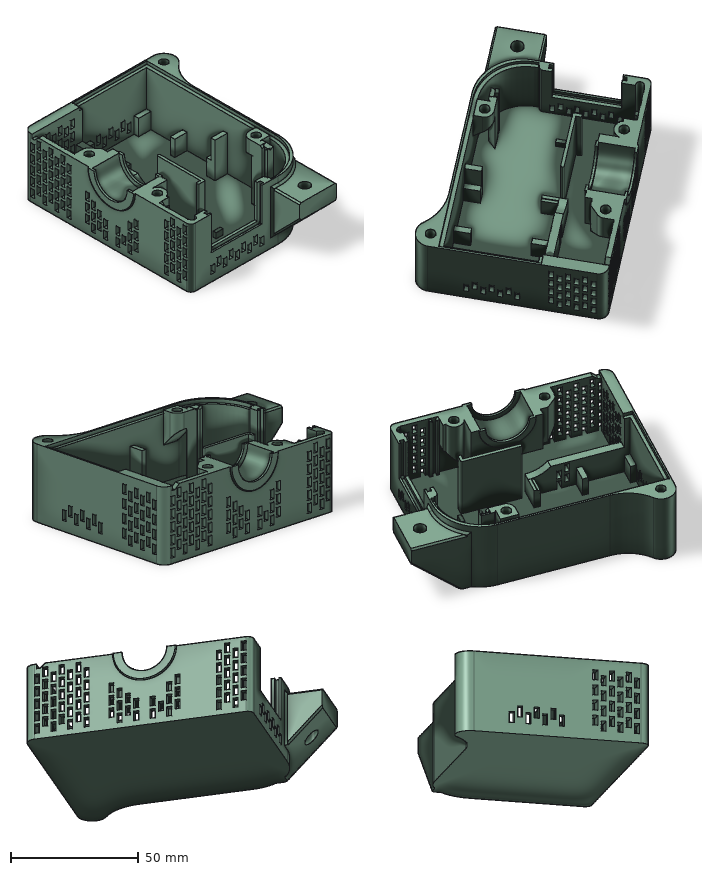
import cadquery as cq
import math

LENGTH = 93.4
DEPTH = 68.5
HEIGHT = 32.7
FLOOR = 2.5
WALL = 2.3
BACK_WALL = 2.5
RIGHT_WALL = 2.2
THICK_WALL = 4.8
WINDOW_WALL = 4.0
LEFT_RADIUS = 4.0
RIGHT_RADIUS = 2.5
BACK_RADIUS = 20.0
LIP_RADIUS = 20.8
INNER_RADIUS = 19.3
DIVIDER_Y = 27.9

EAR_RADIUS = 6.0
EAR_Y = 71.9
NECK_RADIUS = 20.0
SCREW_DIAMETER = 4.1
SCREW_DEPTH = 7.6

LEDGE_DEPTH = 1.6
LIP = 0.8
LEDGE_FRONT_Y = 26.5
LEDGE_RIGHT_Y = 45.2

TAB_END = 108.6
TAB_FRONT = 45.3
TAB_BACK = 65.8
TAB_TOP = 28.6
TAB_TIP_BOTTOM = 20.3
TAB_CHAMFER = 0.8
TAB_COLLAR = 1.0
TAB_HOLE_X = 101.2
TAB_HOLE_DIAMETER = 5.2

JAMB_Y = 44.8
JAMB_BEVEL = 1.0
WINDOW_FRONT = 11.5
WINDOW_BACK = 39.4
SILL = 14.1
GROOVE_X = 90.8
GROOVE_WIDTH = 1.7
GROOVE_BITE = 1.6
GROOVE_BEVEL = 1.0
NOTCH_X = 89.7
NOTCH_Y = 4.2
NOTCH_RADIUS = 1.7

BORE_X = 49.3
BORE_RADIUS = 11.25
BORE_LIP_RADIUS = 9.2
BORE_LIP = 1.1
FRONT_RING_RADIUS = 13.1
FRONT_RING_HEIGHT = 0.7
FRONT_RING_CHAMFER = 0.4
REAR_RING_RADIUS = 12.0
SADDLE_LEFT = 26.1
SADDLE_RIGHT = 73.5
SADDLE_BACK = 15.5
SADDLE_REAR_END = 16.2
SADDLE_BOTTOM = 13.9
SADDLE_BEVEL = 5.0
SADDLE_RIB = 2.0
SADDLE_STEP_LEFT = 34.2
SADDLE_STEP_RIGHT = 64.5
SADDLE_STEP_Y = 12.6
SADDLE_SCREW_LEFT = (30.2, 6.4)
SADDLE_SCREW_RIGHT = (68.3, 6.4)
SCREW_BOSS_RADIUS = 4.0

BOSS_LEFT = 63.5
BOSS_RIGHT = 71.3
BOSS_SCREW_X = (BOSS_LEFT + BOSS_RIGHT) / 2
BOSS_SCREW_Y = 62.1
BOSS_FOOT = 17.9

BOARD_SLOT_X = 74.5
BOARD_SLOT_WIDTH = 1.6
BOARD_SLOT_DEPTH = 1.5
GUIDE_LEFT = 68.8
GUIDE_SLOT_LEFT = 73.6
GUIDE_RIGHT = 77.6
GUIDE_FRONT = BOSS_SCREW_Y - (BOSS_RIGHT - BOSS_LEFT) / 2
GUIDE_BACK = 61.5
GUIDE_BEVEL = 1.0
BOARD_STOP_FRONT = 31.2
BOARD_STOP_LENGTH = 3.9
BOARD_STOP_TOP = 5.4

SUPPORT_WIDTH = 2.5
SUPPORT_LENGTH = 6.8
SUPPORT_TOP = 11.3
SUPPORT_LEFT_EDGES = (2.3, 22.5, 42.7)
STOP_RIGHT = 47.5
STOP_WIDTH = 2.3
STOP_TOP = 22.0
SHELF_RIGHT = 45.3
SHELF_FRONT = 24.5
SHELF_TOP = 15.6
SHELF_DIP_X = 35.7
SHELF_LOW = 11.7
SHELF_DIP_MIDDLE = (39.0, 13.1)
SHELF_END_WIDTH = 1.4
DIVIDER_LEFT = 47.7
DIVIDER_RIGHT = 73.5
DIVIDER_THICKNESS = 1.4
DIVIDER_HOOK = 2.4
DIVIDER_TOP = 30.7

VENT_WIDTH = 2.0
VENT_HEIGHT = 4.0
VENT_PITCH = 3.4
FRONT_VENT_X = 5.0
FRONT_VENT_ROW_PITCH = 5.4
FRONT_VENT_ROWS = 5
ROWS_UNDER_BORE = {9: 3, 10: 3, 11: 2, 12: 2, 14: 2, 15: 1, 16: 3, 17: 3}
SHELF_VENT_ROWS = {7: 2, 8: 2}
SIDE_VENT_Y = 5.49
SIDE_VENT_ROW_PITCH = 6.2
SIDE_VENT_ROWS = 4
SIDE_VENT_EVEN_Z = 3.8
SIDE_VENT_ODD_Z = 6.0
LOW_VENT_EVEN_Z = 7.1
LOW_VENT_ODD_Z = 4.6
LOW_VENT_HEIGHT = 4.5

RIM_NOTCH_DEPTH = 2.1
RIM_NOTCH_FLAT = 1.4
RIM_NOTCH_SLOPE = 2.3

CORNER_X = LENGTH - BACK_RADIUS
CORNER_Y = DEPTH - BACK_RADIUS


def block(x0, x1, y0, y1, z0, z1):
    return cq.Workplane("XY").box(x1 - x0, y1 - y0, z1 - z0, centered=False).translate((x0, y0, z0))


def cylinder_y(radius, y0, y1):
    """Cylinder along Y on the bore axis, which lies in the rim plane."""
    axis = cq.Workplane("XZ", origin=(BORE_X, y0, HEIGHT))
    return axis.circle(radius).extrude(y0 - y1)


def screw_hole(x, y):
    return cq.Workplane("XY", origin=(x, y, HEIGHT)).circle(SCREW_DIAMETER / 2).extrude(-SCREW_DEPTH)


def round_back_corner(outline, right_x, back_y, radius):
    """Continue an outline up the right side, round the large corner and onto the back side."""
    centre_x = right_x - radius
    centre_y = back_y - radius
    reach = radius * math.sqrt(0.5)
    return outline.lineTo(right_x, centre_y).threePointArc(
        (centre_x + reach, centre_y + reach), (centre_x, back_y)
    )


def outer_body():
    rise = DEPTH + NECK_RADIUS - EAR_Y
    reach = EAR_RADIUS + NECK_RADIUS
    neck_x = EAR_RADIUS + math.sqrt(reach**2 - rise**2)
    angle = math.asin(rise / reach)
    meet = (EAR_RADIUS * (1 + math.cos(angle)), EAR_Y + EAR_RADIUS * math.sin(angle))
    neck_angle = (angle + math.pi / 2) / 2
    neck_middle = (
        neck_x - NECK_RADIUS * math.cos(neck_angle),
        DEPTH + NECK_RADIUS - NECK_RADIUS * math.sin(neck_angle),
    )
    outline = cq.Workplane("XY").lineTo(LENGTH, 0)
    return (
        round_back_corner(outline, LENGTH, DEPTH, BACK_RADIUS)
        .lineTo(neck_x, DEPTH)
        .threePointArc(neck_middle, meet)
        .threePointArc((EAR_RADIUS, EAR_Y + EAR_RADIUS), (0, EAR_Y))
        .close()
        .extrude(HEIGHT)
        .edges("|Z and <X and <Y")
        .fillet(LEFT_RADIUS)
        .edges("|Z and >X and <Y")
        .fillet(RIGHT_RADIUS)
    )


def mounting_tab():
    """Tab on the back right corner, with a 45 degree gusset below it."""
    inner_x = CORNER_X
    tab = (
        cq.Workplane("XZ", origin=(0, TAB_BACK, 0))
        .moveTo(inner_x, TAB_TOP)
        .lineTo(TAB_END, TAB_TOP)
        .lineTo(TAB_END, TAB_TIP_BOTTOM)
        .lineTo(TAB_END - TAB_TIP_BOTTOM, 0)
        .lineTo(inner_x, 0)
        .close()
        .extrude(TAB_BACK - TAB_FRONT)
        .edges("not (|Y or |Z or <Z)")
        .chamfer(TAB_CHAMFER)
    )
    hole_y = (TAB_FRONT + TAB_BACK) / 2
    hole = cq.Workplane("XY", origin=(TAB_HOLE_X, hole_y, 0)).circle(TAB_HOLE_DIAMETER / 2).extrude(HEIGHT)
    return tab.cut(hole)


def tab_collar():
    """Bevelled band on the outer wall where the tab leaves it."""
    foot_z = TAB_TIP_BOTTOM - (TAB_END - LENGTH)
    profile = [
        (0, foot_z),
        (BACK_RADIUS, foot_z),
        (BACK_RADIUS + TAB_COLLAR, foot_z + TAB_COLLAR),
        (BACK_RADIUS + TAB_COLLAR, TAB_TOP),
        (BACK_RADIUS, TAB_TOP + TAB_COLLAR),
        (0, TAB_TOP + TAB_COLLAR),
    ]
    corner_plane = cq.Workplane("XZ", origin=(CORNER_X, CORNER_Y, 0))
    straight = (
        corner_plane.polyline(profile)
        .close()
        .extrude(CORNER_Y - TAB_FRONT + TAB_COLLAR)
        .edges("|Z and >X and <Y")
        .chamfer(TAB_COLLAR)
    )
    round_part = corner_plane.polyline(profile).close().revolve(90, (0, 0, 0), (0, 1, 0))
    limit = block(CORNER_X, TAB_END, 0, TAB_BACK, 0, HEIGHT)
    return straight.union(round_part).intersect(limit)


def cavity():
    outline = (
        cq.Workplane("XY", origin=(0, 0, FLOOR))
        .moveTo(THICK_WALL, WALL)
        .lineTo(LENGTH - WINDOW_WALL, WALL)
        .lineTo(LENGTH - WINDOW_WALL, JAMB_Y - JAMB_BEVEL)
        .lineTo(LENGTH - WINDOW_WALL + JAMB_BEVEL, JAMB_Y)
        .lineTo(LENGTH - RIGHT_WALL, JAMB_Y)
    )
    return (
        round_back_corner(outline, LENGTH - RIGHT_WALL, DEPTH - BACK_WALL, INNER_RADIUS)
        .lineTo(WALL, DEPTH - BACK_WALL)
        .lineTo(WALL, DIVIDER_Y)
        .lineTo(THICK_WALL, DIVIDER_Y)
        .close()
        .extrude(HEIGHT)
    )


def lid_ledge():
    outline = (
        cq.Workplane("XY", origin=(0, 0, HEIGHT - LEDGE_DEPTH))
        .moveTo(LIP, LEDGE_FRONT_Y)
        .lineTo(THICK_WALL, LEDGE_FRONT_Y)
        .lineTo(THICK_WALL, LEDGE_RIGHT_Y)
        .lineTo(LENGTH - LIP, LEDGE_RIGHT_Y)
    )
    return (
        round_back_corner(outline, LENGTH - LIP, DEPTH - LIP, LIP_RADIUS)
        .lineTo(LIP, DEPTH - LIP)
        .close()
        .extrude(LEDGE_DEPTH)
    )


def window():
    opening = block(LENGTH - 2 * WINDOW_WALL, LENGTH + 1.1, WINDOW_FRONT, WINDOW_BACK, SILL, HEIGHT)
    groove = (
        block(
            GROOVE_X,
            GROOVE_X + GROOVE_WIDTH,
            WINDOW_FRONT - GROOVE_BITE,
            WINDOW_BACK + GROOVE_BITE,
            SILL - GROOVE_BITE,
            HEIGHT,
        )
        .edges("|X and <Z")
        .chamfer(GROOVE_BEVEL)
    )
    notch = cq.Workplane("XY", origin=(NOTCH_X, NOTCH_Y, FLOOR)).circle(NOTCH_RADIUS).extrude(HEIGHT)
    return opening.union(groove).union(notch)


def saddle():
    """Block on the front wall with two screw bosses, before its half bore is cut."""
    left_x, left_y = SADDLE_SCREW_LEFT
    right_x, right_y = SADDLE_SCREW_RIGHT
    tall = HEIGHT - SADDLE_BOTTOM
    arc_reach = SCREW_BOSS_RADIUS * math.sqrt(0.5)
    body = (
        cq.Workplane("XY", origin=(0, 0, SADDLE_BOTTOM))
        .moveTo(SADDLE_LEFT, WALL / 2)
        .lineTo(SADDLE_LEFT, left_y)
        .threePointArc((left_x - 3.8, left_y + 1.6), (left_x - arc_reach, left_y + arc_reach))
        .lineTo(SADDLE_STEP_LEFT - 3.2, SADDLE_STEP_Y)
        .lineTo(SADDLE_STEP_LEFT, SADDLE_STEP_Y)
        .lineTo(SADDLE_STEP_LEFT, SADDLE_BACK)
        .lineTo(SADDLE_STEP_RIGHT, SADDLE_BACK)
        .lineTo(SADDLE_STEP_RIGHT, right_y)
        .lineTo(SADDLE_RIGHT, right_y + 1.3)
        .lineTo(SADDLE_RIGHT, WALL / 2)
        .close()
        .extrude(tall)
    )
    boss = cq.Workplane("XY", origin=(right_x, right_y, SADDLE_BOTTOM)).circle(SCREW_BOSS_RADIUS).extrude(tall)
    envelope = (
        block(SADDLE_LEFT, SADDLE_RIGHT, 0, SADDLE_BACK, SADDLE_BOTTOM, HEIGHT)
        .edges("|Y and <Z")
        .chamfer(SADDLE_BEVEL)
    )
    rear_ring = cylinder_y(REAR_RING_RADIUS, SADDLE_BACK - 1.1, SADDLE_REAR_END)
    front_ring = (
        cylinder_y(FRONT_RING_RADIUS, -FRONT_RING_HEIGHT, WALL / 2).faces("<Y").chamfer(FRONT_RING_CHAMFER)
    )
    rib = block(
        SADDLE_STEP_RIGHT - SADDLE_RIB, SADDLE_STEP_RIGHT, WALL / 2, SADDLE_BACK, 0, SADDLE_BOTTOM
    )
    below_rim = block(0, LENGTH, -WALL, DEPTH, 0, HEIGHT)
    rings = rear_ring.union(front_ring).intersect(below_rim)
    return body.union(boss).intersect(envelope).union(rings).union(rib)


def half_bore():
    bore = cylinder_y(BORE_RADIUS, BORE_LIP - FRONT_RING_HEIGHT, SADDLE_REAR_END - BORE_LIP)
    mouth = cylinder_y(BORE_LIP_RADIUS, -WALL, SADDLE_REAR_END + 1.1)
    return bore.union(mouth)


def back_boss():
    """Screw boss whose underside rises at 45 degrees away from the back wall."""
    wall_y = DEPTH - BACK_WALL / 2
    radius = BOSS_SCREW_Y - GUIDE_FRONT
    plan = (
        cq.Workplane("XY", origin=(BOSS_SCREW_X, BOSS_SCREW_Y, 0))
        .circle(radius)
        .extrude(HEIGHT)
        .union(block(BOSS_LEFT, BOSS_RIGHT, BOSS_SCREW_Y, wall_y, 0, HEIGHT))
        .union(block(BOSS_SCREW_X, BOSS_RIGHT, GUIDE_FRONT, wall_y, 0, HEIGHT))
    )
    wall_z = BOSS_FOOT - BACK_WALL / 2
    profile = (
        cq.Workplane("YZ", origin=(BOSS_LEFT, 0, 0))
        .moveTo(wall_y, wall_z)
        .lineTo(wall_y, HEIGHT - LEDGE_DEPTH)
        .lineTo(DEPTH - BACK_WALL, HEIGHT - LEDGE_DEPTH)
        .lineTo(DEPTH - BACK_WALL, HEIGHT)
        .lineTo(GUIDE_FRONT, HEIGHT)
        .lineTo(GUIDE_FRONT, wall_z + wall_y - GUIDE_FRONT)
        .close()
        .extrude(BOSS_RIGHT - BOSS_LEFT)
    )
    return plan.intersect(profile)


def board_slot(y0, y1):
    """Slot for the board edge, widened at the rim so that the board slides in."""
    slot = block(BOARD_SLOT_X, BOARD_SLOT_X + BOARD_SLOT_WIDTH, y0, y1, FLOOR, HEIGHT)
    right_x = BOARD_SLOT_X + BOARD_SLOT_WIDTH
    lead_in = (
        cq.Workplane("XZ", origin=(0, y1, 0))
        .moveTo(BOARD_SLOT_X, HEIGHT - GUIDE_BEVEL)
        .lineTo(right_x, HEIGHT - GUIDE_BEVEL)
        .lineTo(GUIDE_RIGHT, HEIGHT)
        .lineTo(GUIDE_SLOT_LEFT, HEIGHT)
        .close()
        .extrude(y1 - y0)
    )
    return slot.union(lead_in)


def board_guides():
    slot_back = GUIDE_FRONT + BOARD_SLOT_DEPTH
    back = (
        cq.Workplane("XY")
        .moveTo(GUIDE_LEFT, GUIDE_FRONT)
        .lineTo(GUIDE_RIGHT, GUIDE_FRONT)
        .lineTo(GUIDE_RIGHT, GUIDE_BACK)
        .lineTo(GUIDE_LEFT + GUIDE_BACK - GUIDE_FRONT, GUIDE_BACK)
        .close()
        .extrude(HEIGHT)
        .cut(board_slot(GUIDE_FRONT, slot_back))
    )
    back_lead_in = (
        cq.Workplane("YZ", origin=(GUIDE_SLOT_LEFT, 0, 0))
        .moveTo(slot_back, HEIGHT - GUIDE_BEVEL)
        .lineTo(GUIDE_BACK, HEIGHT)
        .lineTo(slot_back, HEIGHT)
        .close()
        .extrude(GUIDE_RIGHT - GUIDE_SLOT_LEFT)
    )
    back = back.cut(back_lead_in)
    front_end = WALL + BOARD_SLOT_DEPTH
    front = block(SADDLE_RIGHT, GUIDE_RIGHT, WALL / 2, front_end, 0, HEIGHT)
    front = front.cut(board_slot(WALL, front_end))
    stop = block(
        BOARD_SLOT_X,
        BOARD_SLOT_X + BOARD_SLOT_WIDTH,
        BOARD_STOP_FRONT,
        BOARD_STOP_FRONT + BOARD_STOP_LENGTH,
        0,
        BOARD_STOP_TOP,
    )
    return back.union(front).union(stop)


def battery_supports():
    back_y = DEPTH - BACK_WALL
    supports = block(STOP_RIGHT - STOP_WIDTH, STOP_RIGHT, back_y - SUPPORT_LENGTH, back_y, 0, STOP_TOP)
    for x in SUPPORT_LEFT_EDGES:
        for y in (DIVIDER_Y, back_y - SUPPORT_LENGTH):
            supports = supports.union(block(x, x + SUPPORT_WIDTH, y, y + SUPPORT_LENGTH, 0, SUPPORT_TOP))
    return supports


def shelf():
    body = (
        cq.Workplane("XZ", origin=(0, DIVIDER_Y, 0))
        .moveTo(THICK_WALL, 0)
        .lineTo(SHELF_RIGHT, 0)
        .lineTo(SHELF_RIGHT, SHELF_LOW)
        .threePointArc(SHELF_DIP_MIDDLE, (SHELF_DIP_X, SHELF_TOP))
        .lineTo(THICK_WALL, SHELF_TOP)
        .close()
        .extrude(DIVIDER_Y - SHELF_FRONT)
    )
    end_wall = block(
        SHELF_RIGHT - SHELF_END_WIDTH, SHELF_RIGHT, DIVIDER_Y, DIVIDER_Y + SUPPORT_LENGTH, 0, SHELF_LOW
    )
    return body.union(end_wall)


def divider():
    front_y = DIVIDER_Y - DIVIDER_THICKNESS
    hook_left = DIVIDER_RIGHT - DIVIDER_THICKNESS
    wall = block(DIVIDER_LEFT, DIVIDER_RIGHT, front_y, DIVIDER_Y, 0, DIVIDER_TOP)
    hook = block(hook_left, DIVIDER_RIGHT, front_y - DIVIDER_HOOK, DIVIDER_Y, 0, DIVIDER_TOP)
    rounding = DIVIDER_THICKNESS * 0.4
    return (
        wall.union(hook)
        .edges("|Z and (<X or >X or <Y)")
        .fillet(rounding)
    )


def front_vent_grid(rows_by_column, y0, y1):
    """Vents along Y on one grid whose odd columns sit half a row higher."""
    vents = cq.Workplane("XY")
    for column, rows in rows_by_column.items():
        x = FRONT_VENT_X + column * VENT_PITCH - VENT_WIDTH / 2
        z = FLOOR + (column % 2) * FRONT_VENT_ROW_PITCH / 2
        for row in range(rows):
            bottom = z + row * FRONT_VENT_ROW_PITCH
            vents = vents.add(block(x, x + VENT_WIDTH, y0, y1, bottom, bottom + VENT_HEIGHT))
    return vents.combine()


def front_vents():
    """Full columns at both ends of the front wall and lower ones under the half bore."""
    rows_by_column = {column: FRONT_VENT_ROWS for column in (*range(7), *range(22, 26))}
    rows_by_column.update(ROWS_UNDER_BORE)
    return front_vent_grid(rows_by_column, -1.1, WALL)


def shelf_vents():
    return front_vent_grid(SHELF_VENT_ROWS, SHELF_FRONT, DIVIDER_Y)


def side_vent(column, x0, x1, bottom, height):
    y = SIDE_VENT_Y + column * VENT_PITCH - VENT_WIDTH / 2
    return block(x0, x1, y, y + VENT_WIDTH, bottom, bottom + height)


def side_vents():
    """Vents of the left wall, and one row below the window in the right wall."""
    vents = cq.Workplane("XY")
    for column in range(6):
        z = SIDE_VENT_ODD_Z if column % 2 else SIDE_VENT_EVEN_Z
        for row in range(SIDE_VENT_ROWS):
            bottom = z + row * SIDE_VENT_ROW_PITCH
            vents = vents.add(side_vent(column, -1.1, THICK_WALL, bottom, VENT_HEIGHT))
    for column in range(9, 16):
        z = LOW_VENT_ODD_Z if column % 2 else LOW_VENT_EVEN_Z
        vents = vents.add(side_vent(column, -1.1, WALL, z, LOW_VENT_HEIGHT))
    for column in range(2, 11):
        z = SIDE_VENT_ODD_Z if column % 2 else SIDE_VENT_EVEN_Z
        vents = vents.add(side_vent(column, LENGTH - WINDOW_WALL, LENGTH + 1.1, z, VENT_HEIGHT))
    return vents.combine()


def rim_notch():
    bottom = HEIGHT - RIM_NOTCH_DEPTH
    flat_end = THICK_WALL + RIM_NOTCH_FLAT
    return (
        cq.Workplane("XZ", origin=(0, WALL, 0))
        .moveTo(THICK_WALL, bottom)
        .lineTo(flat_end, bottom)
        .lineTo(flat_end + RIM_NOTCH_SLOPE, HEIGHT)
        .lineTo(THICK_WALL, HEIGHT)
        .close()
        .extrude(WALL + 1.1)
    )


shell = outer_body().union(tab_collar()).union(mounting_tab())
shell = shell.cut(cavity()).cut(lid_ledge()).cut(window())

for feature in (saddle, back_boss, board_guides, battery_supports, shelf, divider):
    shell = shell.union(feature())
for feature in (half_bore, front_vents, shelf_vents, side_vents, rim_notch):
    shell = shell.cut(feature())

SCREWS = ((EAR_RADIUS, EAR_Y), (BOSS_SCREW_X, BOSS_SCREW_Y), SADDLE_SCREW_LEFT, SADDLE_SCREW_RIGHT)
for screw_x, screw_y in SCREWS:
    shell = shell.cut(screw_hole(screw_x, screw_y))

result = shell